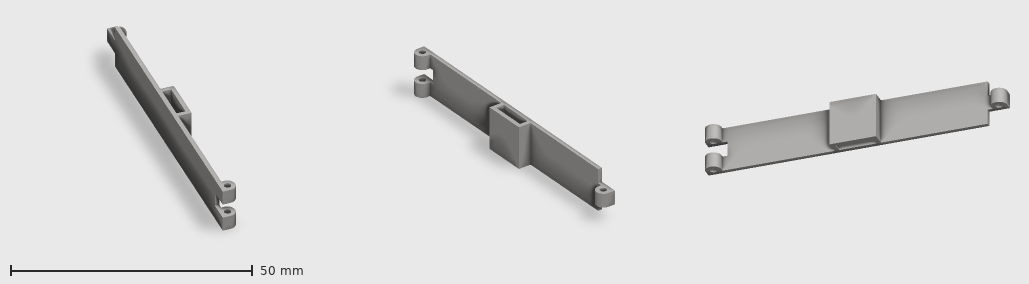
import cadquery as cq

length = 66.5
height = 10.0
wall = 1.0
half_length = length / 2

knuckle_radius = 1.7
pin_diameter = 1.5
knuckle_height = height / 3
hinge_depth = 4.5
pin_offset = half_length - knuckle_radius

loop_width = 10.25
loop_center_x = -0.05
depth = 4.0


def box(x_min, x_max, y_min, y_max, box_height):
    """Box between the given X and Y limits, centred on Z = 0."""
    return (
        cq.Workplane("XY")
        .box(x_max - x_min, y_max - y_min, box_height)
        .translate(((x_min + x_max) / 2, (y_min + y_max) / 2, 0))
    )


def knuckle(x, z_center):
    """Round-topped knuckle standing on the front face, without its pin hole."""
    base = box(x - knuckle_radius, x + knuckle_radius, 0, knuckle_radius, knuckle_height)
    barrel = (
        cq.Workplane("XY", origin=(x, knuckle_radius, -knuckle_height / 2))
        .circle(knuckle_radius)
        .extrude(knuckle_height)
    )
    return base.union(barrel).translate((0, 0, z_center))


def pin_hole(x):
    """Full-height cutter for a hinge pin parallel to Z."""
    return (
        cq.Workplane("XY", origin=(x, knuckle_radius, -height / 2))
        .circle(pin_diameter / 2)
        .extrude(height)
    )


plate = box(-half_length + hinge_depth, half_length, 0, wall, height)
slot = box(half_length - hinge_depth, half_length, 0, wall, knuckle_height)
tongue = box(-half_length, -half_length + hinge_depth, 0, wall, knuckle_height)
result = plate.cut(slot).union(tongue)

loop_left = loop_center_x - loop_width / 2
loop_right = loop_center_x + loop_width / 2
loop = box(loop_left, loop_right, 0, depth, height)
opening = box(loop_left + wall, loop_right - wall, wall, depth - wall, height)
result = result.union(loop.cut(opening))

result = result.union(knuckle(-pin_offset, 0))
for side in (-1, 1):
    result = result.union(knuckle(pin_offset, side * knuckle_height))
for x in (-pin_offset, pin_offset):
    result = result.cut(pin_hole(x))